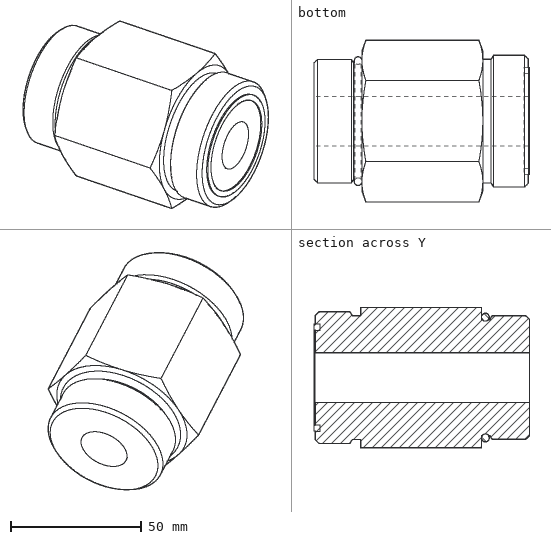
import cadquery as cq
import math

overall_length = 83.01
seal_standout = 0.5
body_length = overall_length - seal_standout
hex_start = 18.5
hex_length = 46.5
hex_end = hex_start + hex_length

across_flats = 53.98
across_corners = across_flats / math.cos(math.radians(30))
hex_chamfer_angle = 20

bore_diameter = 19.05

small_thread_diameter = 47.62
small_tip_diameter = 44.65
small_neck_diameter = 44.65
small_thread_end = 14.5

large_thread_diameter = 50.8
large_tip_diameter = 47.75
large_neck_diameter = 47.75
large_thread_start = 69.1

neck_chamfer_angle = 60

o_ring_section = 2.95
o_ring_inner_diameter = 43.69
o_ring_centre_diameter = o_ring_inner_diameter + o_ring_section
o_ring_x = hex_start - o_ring_section / 2

seal_outer_diameter = 41.15
seal_inner_diameter = 36.58
seal_width = (seal_outer_diameter - seal_inner_diameter) / 2
seal_start = overall_length - seal_width


def revolve_about_x(profile):
    """Revolves a closed (x, radius) profile about the X axis."""
    return cq.Workplane("XY").polyline(profile).close().revolve(360, (0, 0, 0), (1, 0, 0))


def neck_chamfer_length(thread_diameter, neck_diameter):
    depth = (thread_diameter - neck_diameter) / 2
    return depth / math.tan(math.radians(neck_chamfer_angle))


def make_hexagon():
    """Hexagonal prism with flats up and down and its corners coned at both ends."""
    prism = (
        cq.Workplane("YZ", origin=(hex_start, 0, 0))
        .polygon(6, across_corners)
        .extrude(hex_length)
    )
    flat_radius = across_flats / 2
    corner_radius = across_corners / 2
    cone_length = (corner_radius - flat_radius) * math.tan(math.radians(hex_chamfer_angle))
    envelope = revolve_about_x([
        (hex_start, 0),
        (hex_start, flat_radius),
        (hex_start + cone_length, corner_radius),
        (hex_end - cone_length, corner_radius),
        (hex_end, flat_radius),
        (hex_end, 0),
    ])
    return prism.intersect(envelope)


def make_small_end():
    """Small threaded end with a 45 degree tip chamfer and the O-ring neck."""
    tip_radius = small_tip_diameter / 2
    thread_radius = small_thread_diameter / 2
    neck_radius = small_neck_diameter / 2
    neck_start = small_thread_end + neck_chamfer_length(small_thread_diameter, small_neck_diameter)
    return revolve_about_x([
        (0, 0),
        (0, tip_radius),
        (thread_radius - tip_radius, thread_radius),
        (small_thread_end, thread_radius),
        (neck_start, neck_radius),
        (hex_start, neck_radius),
        (hex_start, 0),
    ])


def make_large_end():
    """Large threaded end with a neck and a 45 degree tip chamfer."""
    tip_radius = large_tip_diameter / 2
    thread_radius = large_thread_diameter / 2
    neck_radius = large_neck_diameter / 2
    neck_end = large_thread_start - neck_chamfer_length(large_thread_diameter, large_neck_diameter)
    return revolve_about_x([
        (hex_end, 0),
        (hex_end, neck_radius),
        (neck_end, neck_radius),
        (large_thread_start, thread_radius),
        (body_length - (thread_radius - tip_radius), thread_radius),
        (body_length, tip_radius),
        (body_length, 0),
    ])


def make_face_seal():
    return (
        cq.Workplane("YZ", origin=(seal_start, 0, 0))
        .circle(seal_outer_diameter / 2)
        .circle(seal_inner_diameter / 2)
        .extrude(seal_width)
    )


def make_o_ring():
    return (
        cq.Workplane("XY")
        .center(o_ring_x, o_ring_centre_diameter / 2)
        .circle(o_ring_section / 2)
        .revolve(360, (0, -o_ring_centre_diameter / 2, 0), (1, -o_ring_centre_diameter / 2, 0))
    )


def make_body():
    """One-piece body, bored through, with matching recesses for both seals."""
    bore = cq.Workplane("YZ").circle(bore_diameter / 2).extrude(body_length)
    solid_body = make_hexagon().union(make_small_end()).union(make_large_end())
    return solid_body.cut(bore).cut(make_o_ring()).cut(make_face_seal())


body = make_body()
o_ring = make_o_ring()
face_seal = make_face_seal()

result = cq.Compound.makeCompound([body.solids().val(), o_ring.val(), face_seal.val()])